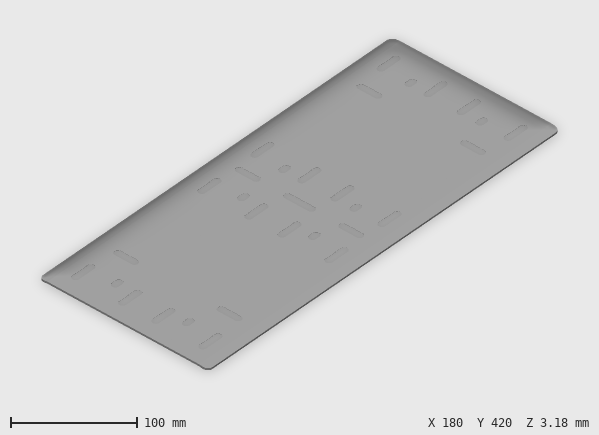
import cadquery as cq
import math

plate_length = 420.0
plate_width = 180.0
overall_height = 3.2
sheet_thickness = 2.0
flat_width = 161.3
corner_radius = 6.0

slot_width = 7.0
slot_depth = 0.2
slot_length = 25.0
center_slot_length = 32.5
small_slot_length = 11.5
outer_column_x = 67.5
inner_column_x = 17.5
small_column_x = 38.0
cross_slot_x = 55.0
cross_slot_y = 145.0
end_row_y = 182.0
middle_row_y = 31.5

small_slot_shift = (slot_length - small_slot_length) / 2
end_small_y = end_row_y - small_slot_shift
middle_small_y = middle_row_y - small_slot_shift

half_width = plate_width / 2
half_flat = flat_width / 2
lip_run = half_width - half_flat
lip_slope = math.atan((overall_height - sheet_thickness) / lip_run)
lip_edge_z = overall_height - lip_run * math.tan(lip_slope)
lower_edge_x = half_width - sheet_thickness * math.sin(lip_slope)
lower_edge_z = lip_edge_z - sheet_thickness * math.cos(lip_slope)
lower_bend_x = half_flat - sheet_thickness * math.tan(lip_slope / 2)


def bent_sheet():
    """Flat sheet with both long edges bent slightly downward."""
    right_half = [
        (lower_bend_x, overall_height - sheet_thickness),
        (lower_edge_x, lower_edge_z),
        (half_width, lip_edge_z),
        (half_flat, overall_height),
    ]
    left_half = [(-x, z) for x, z in reversed(right_half)]
    section = cq.Workplane("XZ").polyline(right_half + left_half).close()
    return section.extrude(plate_length / 2, both=True)


def rounded_outline():
    """Block that trims the four plan corners to a radius."""
    return (
        cq.Workplane("XY")
        .rect(plate_width, plate_length)
        .extrude(overall_height)
        .edges("|Z")
        .fillet(corner_radius)
    )


def slots(positions, length, angle):
    """Cutters for shallow round-ended slots; angle is measured from X."""
    return (
        cq.Workplane("XY", origin=(0, 0, overall_height))
        .pushPoints(positions)
        .slot2D(length, slot_width, angle)
        .extrude(-slot_depth)
    )


def mirrored(x, y):
    """The four positions symmetric about both plan axes."""
    return [(sx * x, sy * y) for sx in (-1, 1) for sy in (-1, 1)]


result = bent_sheet().intersect(rounded_outline())

for column_x in (outer_column_x, inner_column_x):
    for row_y in (end_row_y, middle_row_y):
        result = result.cut(slots(mirrored(column_x, row_y), slot_length, 90))

for row_y in (end_small_y, middle_small_y):
    result = result.cut(slots(mirrored(small_column_x, row_y), small_slot_length, 90))

middle_cross_slots = [(-cross_slot_x, 0), (cross_slot_x, 0)]
result = result.cut(slots(mirrored(cross_slot_x, cross_slot_y), slot_length, 0))
result = result.cut(slots(middle_cross_slots, slot_length, 0))
result = result.cut(slots([(0, 0)], center_slot_length, 0))